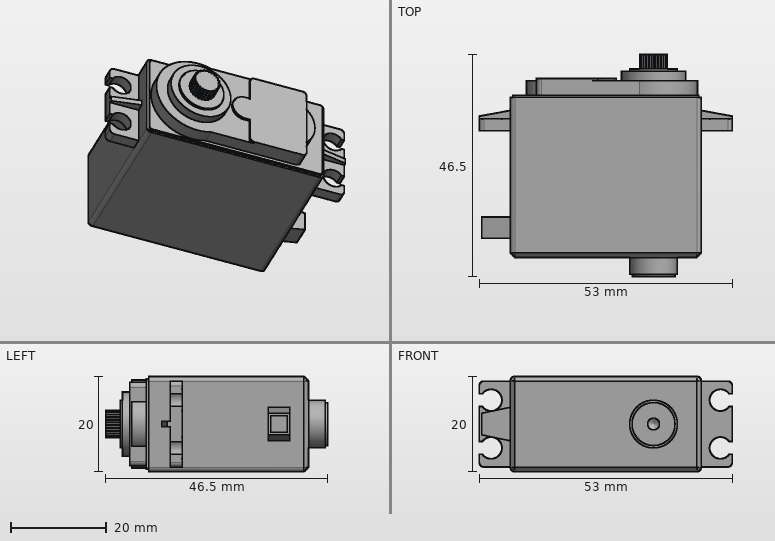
import cadquery as cq
import math


case_length = 40.0
case_width = 20.0
case_height = 33.5
case_edge = 1.0
lid_inset = 0.5
lid_height = 0.5
case_end = case_length / 2
lid_top = case_height + lid_height

axis_x = 10.0
cover_top = lid_top + 3.0
drum_radius = 9.25
cover_half_width = 8.75
cover_left = -14.5
cover_corner = 1.0
end_bulge_radius = 6.25
end_bulge_x = -10.35

pad_height = 0.5
pad_right = -1.7
tab_radius = 2.9
tab_end_x = 2.2

bearing_seat_diameter = 13.5
bearing_seat_height = 2.0
bearing_diameter = 10.0
bearing_lip_height = 0.5
bearing_seat_top = cover_top + bearing_seat_height
bearing_top = bearing_seat_top + bearing_lip_height

spline_teeth = 24
spline_tip_radius = 2.89
spline_root_radius = 2.6
spline_length = 3.0

boss_diameter = 10.0
boss_height = 4.0
boss_step_diameter = 9.0
boss_step_height = 0.5
idler_hole_diameter = 2.46
idler_hole_depth = 4.0
drill_point_angle = 118.0

ear_span = 53.0
ear_width = 18.0
ear_bottom = 26.5
ear_thickness = 2.5
ear_corner = 1.0
ear_top = ear_bottom + ear_thickness
ear_end = ear_span / 2
ear_hole_diameter = 4.5
ear_hole_x = 24.0
ear_hole_z = 5.0
ear_slot_width = 2.6
rib_thickness = 1.2
rib_root_height = 1.8
rib_tip_height = 0.6

outlet_bottom = 4.0
outlet_height = 4.5
outlet_length = 6.0
outlet_root_width = 7.0
outlet_tip_width = 4.5
outlet_wall = 0.5


def plane_at(y, x=0.0):
    """Sketch plane at height y: local X is X, local Y is Z, and it extrudes towards +Y."""
    return cq.Workplane(cq.Plane(origin=(x, y, 0), xDir=(1, 0, 0), normal=(0, 1, 0)))


def centred_block(x_start, x_end, width, y_start, height):
    """Block between two X positions, centred on Z."""
    middle = (x_start + x_end) / 2
    return plane_at(y_start, middle).rect(x_end - x_start, width).extrude(height)


def make_case():
    case = centred_block(-case_end, case_end, case_width, 0, case_height)
    case = case.edges("|Y").fillet(case_edge).faces("<Y").chamfer(case_edge)
    lid_end = case_end - lid_inset
    lid = centred_block(-lid_end, lid_end, case_width - 2 * lid_inset, case_height, lid_height)
    return case.union(lid.edges("|Y").fillet(case_edge - lid_inset))


def make_gear_cover():
    height = cover_top - lid_top
    drum = plane_at(lid_top, axis_x).circle(drum_radius).extrude(height)
    cover = centred_block(cover_left, axis_x, 2 * cover_half_width, lid_top, height)
    cover = cover.edges("|Y and <X").fillet(cover_corner)
    end_bulge = plane_at(lid_top, end_bulge_x).circle(end_bulge_radius).extrude(height)
    return cover.union(drum).union(end_bulge)


def make_pad():
    pad = centred_block(cover_left, pad_right, 2 * cover_half_width, cover_top, pad_height)
    pad = pad.edges("|Y").fillet(cover_corner)
    tab_centre = tab_end_x - tab_radius
    tab = centred_block(pad_right, tab_centre, 2 * tab_radius, cover_top, pad_height)
    tab_end = plane_at(cover_top, tab_centre).circle(tab_radius).extrude(pad_height)
    return pad.union(tab).union(tab_end)


def make_bearing():
    seat = plane_at(cover_top, axis_x).circle(bearing_seat_diameter / 2).extrude(bearing_seat_height)
    lip = plane_at(bearing_seat_top, axis_x).circle(bearing_diameter / 2).extrude(bearing_lip_height)
    return seat.union(lip)


def make_idler_boss():
    step = plane_at(-boss_height, axis_x).circle(boss_step_diameter / 2).extrude(boss_step_height)
    shoulder_y = boss_step_height - boss_height
    boss = plane_at(shoulder_y, axis_x).circle(boss_diameter / 2).extrude(-shoulder_y)
    return step.union(boss)


def make_idler_hole():
    """Drilled hole with a conical bottom, as a solid to cut away."""
    radius = idler_hole_diameter / 2
    point_length = radius / math.tan(math.radians(drill_point_angle / 2))
    hole_bottom = idler_hole_depth - boss_height
    profile = (
        cq.Workplane("XY")
        .moveTo(axis_x, -boss_height)
        .lineTo(axis_x + radius, -boss_height)
        .lineTo(axis_x + radius, hole_bottom)
        .lineTo(axis_x, hole_bottom + point_length)
        .close()
    )
    return profile.revolve(360, (axis_x, 0, 0), (axis_x, 1, 0))


def make_ear():
    """Ear at the +X end, with two slotted holes and a sloping rib on top."""
    ear = centred_block(case_end, ear_end, ear_width, ear_bottom, ear_thickness)
    ear = ear.edges("|Y and >X").fillet(ear_corner)
    hole_places = [(ear_hole_x, ear_hole_z), (ear_hole_x, -ear_hole_z)]
    holes = plane_at(ear_bottom).pushPoints(hole_places).circle(ear_hole_diameter / 2).extrude(ear_thickness)
    slot_length = ear_end - ear_hole_x
    slot_places = [(x + slot_length / 2, z) for x, z in hole_places]
    slots = plane_at(ear_bottom).pushPoints(slot_places).rect(slot_length, ear_slot_width).extrude(ear_thickness)
    rib = (
        cq.Workplane("XY")
        .moveTo(case_end, ear_top)
        .lineTo(ear_end, ear_top)
        .lineTo(ear_end, ear_top + rib_tip_height)
        .lineTo(case_end, ear_top + rib_root_height)
        .close()
        .extrude(rib_thickness / 2, both=True)
    )
    return ear.cut(holes).cut(slots).union(rib)


def make_cable_outlet():
    """Tapered outlet at the -X end with a rectangular pocket as deep as the outlet is long."""
    tip_x = -case_end - outlet_length
    outlet = (
        plane_at(outlet_bottom)
        .moveTo(-case_end, outlet_root_width / 2)
        .lineTo(tip_x, outlet_tip_width / 2)
        .lineTo(tip_x, -outlet_tip_width / 2)
        .lineTo(-case_end, -outlet_root_width / 2)
        .close()
        .extrude(outlet_height)
    )
    pocket_width = outlet_tip_width - 2 * outlet_wall
    pocket_height = outlet_height - 2 * outlet_wall
    pocket = centred_block(tip_x, -case_end, pocket_width, outlet_bottom + outlet_wall, pocket_height)
    return outlet.cut(pocket)


def make_housing():
    housing = make_case().union(make_gear_cover()).union(make_pad()).union(make_bearing())
    housing = housing.union(make_idler_boss()).cut(make_idler_hole())
    ear = make_ear()
    housing = housing.union(ear).union(ear.mirror("YZ"))
    return housing.union(make_cable_outlet())


def make_output_spline():
    """Toothed output shaft standing on the bearing."""
    half_pitch = math.pi / spline_teeth
    outline = []
    for tooth in range(spline_teeth):
        tip_angle = 2 * half_pitch * tooth
        root_angle = tip_angle + half_pitch
        outline.append((spline_tip_radius * math.cos(tip_angle), spline_tip_radius * math.sin(tip_angle)))
        outline.append((spline_root_radius * math.cos(root_angle), spline_root_radius * math.sin(root_angle)))
    return plane_at(bearing_top, axis_x).polyline(outline).close().extrude(spline_length)


housing = make_housing()
output_spline = make_output_spline()

result = cq.Compound.makeCompound([housing.val(), output_spline.val()])